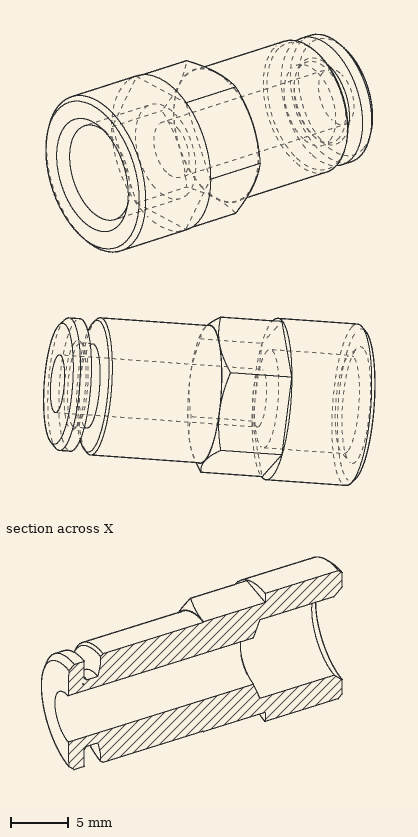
import cadquery as cq
import math

length = 26.6

sleeve_radius = 14.0 / 2
sleeve_length = 7.5
sleeve_chamfer = 0.4

hex_across_flats = 12.0
hex_end = 13.49
hex_chamfer_angle = 30.0

body_radius = 11.9 / 2
body_end = 23.45
body_chamfer = 0.25
collar_radius = 5.0
collar_height = 0.27

neck_radius = 7.3 / 2
neck_chamfer = 0.25
rim_radius = 11.5 / 2
rim_start = 25.03
rim_chamfer = 0.5
crown_radius = 4.25
crown_height = 0.08

hole_radius = 5.0 / 2
socket_radius = 8.5 / 2
socket_mouth_radius = 5.05
socket_mouth_depth = 0.8
socket_depth = 7.98
socket_tip_angle = 140.0


def revolve_about_y(points):
    """Turn a closed (radius, y) outline about the Y axis."""
    return cq.Workplane("XY").polyline(points).close().revolve(360, (0, 0, 0), (0, 1, 0))


def sleeve():
    return revolve_about_y([
        (0, 0),
        (sleeve_radius - sleeve_chamfer, 0),
        (sleeve_radius, sleeve_chamfer),
        (sleeve_radius, sleeve_length),
        (0, sleeve_length),
    ])


def wrench_hexagon():
    hex_sides = 6
    corner_radius = hex_across_flats / 2 / math.cos(math.pi / hex_sides)
    prism = (
        cq.Workplane("XZ", origin=(0, hex_end, 0))
        .polygon(hex_sides, 2 * corner_radius)
        .extrude(hex_end - sleeve_length)
    )
    trim_radius = hex_across_flats / 2
    trim_drop = (sleeve_radius - trim_radius) * math.tan(math.radians(hex_chamfer_angle))
    trim = revolve_about_y([
        (0, 0),
        (sleeve_radius, 0),
        (sleeve_radius, hex_end - trim_drop),
        (trim_radius, hex_end),
        (0, hex_end),
    ])
    return prism.intersect(trim)


def body_and_button():
    rim_face = length - crown_height
    return revolve_about_y([
        (0, 0),
        (body_radius, 0),
        (body_radius, body_end - body_chamfer),
        (body_radius - body_chamfer, body_end),
        (collar_radius, body_end),
        (neck_radius, body_end + collar_height),
        (neck_radius, rim_start - neck_chamfer),
        (neck_radius + neck_chamfer, rim_start),
        (rim_radius, rim_start),
        (rim_radius, rim_face - rim_chamfer),
        (rim_radius - rim_chamfer, rim_face),
        (crown_radius, length),
        (0, length),
    ])


def bores():
    """Countersunk socket with a drill-point cone, opening into the through hole."""
    tip_slope = math.tan(math.radians(socket_tip_angle / 2))
    tip_length = (socket_radius - hole_radius) / tip_slope
    return revolve_about_y([
        (0, 0),
        (socket_mouth_radius, 0),
        (socket_radius, socket_mouth_depth),
        (socket_radius, socket_depth),
        (hole_radius, socket_depth + tip_length),
        (hole_radius, length),
        (0, length),
    ])


result = sleeve().union(wrench_hexagon()).union(body_and_button()).cut(bores())